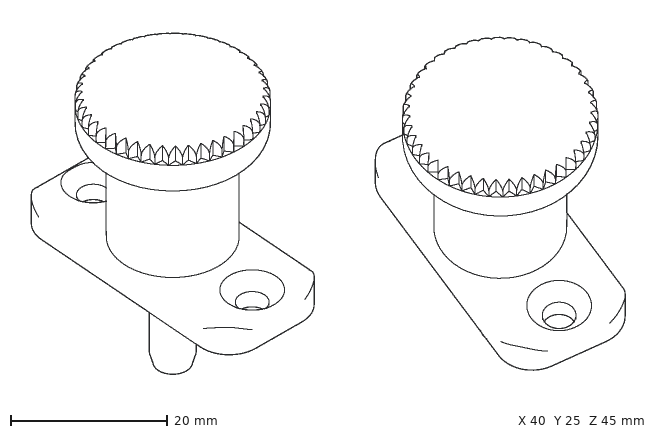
import cadquery as cq
import math


plate_length = 40.0
plate_depth = 18.0
plate_thickness = 4.5
plate_corner_radius = 5.0
plate_top_fillet = 1.45
boss_diameter = 10.0
boss_height = 2.5
screw_spacing = 30.0
screw_hole_diameter = 4.3
countersink_diameter = 8.3
countersink_angle = 90.0

total_height = 45.0
knob_top = 28.5
knob_radius = 12.5
knob_height = 8.0
knob_top_fillet = 1.5
knob_bottom_fillet = 2.5
neck_radius = 8.5
neck_fillet = 1.0
pin_radius = 3.0
pin_taper_length = 1.75
pin_taper_angle = 15.0
tip_dome_height = 0.5

groove_count = 44
groove_height = 2.5
groove_angle = 90.0

knob_bottom = knob_top - knob_height
pin_end = knob_top - total_height


def make_flange():
    """Plate with rounded top edges, boss, pin bore and two countersunk screw holes."""
    block = (
        cq.Workplane("XY")
        .box(plate_length, plate_depth, plate_thickness, centered=(True, True, False))
        .faces(">Z")
        .edges()
        .fillet(plate_top_fillet)
    )
    rounded_outline = (
        cq.Workplane("XY")
        .rect(plate_length, plate_depth)
        .extrude(plate_thickness)
        .edges("|Z")
        .fillet(plate_corner_radius)
    )
    boss = cq.Workplane("XY").circle(boss_diameter / 2).extrude(-boss_height)
    pin_bore = (
        cq.Workplane("XY")
        .workplane(offset=-boss_height)
        .circle(pin_radius)
        .extrude(boss_height + plate_thickness)
    )
    return (
        block.intersect(rounded_outline)
        .union(boss)
        .cut(pin_bore)
        .cut(make_screw_holes())
    )


def make_screw_holes():
    """Cutters for the countersunk holes on both sides of the plunger."""
    hole_radius = screw_hole_diameter / 2
    sink_radius = countersink_diameter / 2
    sink_depth = (sink_radius - hole_radius) / math.tan(math.radians(countersink_angle / 2))
    profile = (
        cq.Workplane("XZ")
        .lineTo(hole_radius, 0)
        .lineTo(hole_radius, plate_thickness - sink_depth)
        .lineTo(sink_radius, plate_thickness)
        .lineTo(0, plate_thickness)
        .close()
    )
    cutter = profile.revolve(360, (0, 0, 0), (0, 1, 0))
    offset = screw_spacing / 2
    return cutter.translate((-offset, 0, 0)).union(cutter.translate((offset, 0, 0)))


def make_plunger():
    """Knob, neck and pin turned as one piece, with a knurled upper rim."""
    return make_plunger_blank().cut(make_knurl_grooves())


def make_plunger_blank():
    """Turned shape of the plunger; the neck stands on top of the plate."""
    tip_radius = pin_radius - pin_taper_length * math.tan(math.radians(pin_taper_angle))
    taper_end = pin_end + tip_dome_height
    dome_radius = (tip_radius**2 + tip_dome_height**2) / (2 * tip_dome_height)
    return (
        cq.Workplane("XZ")
        .moveTo(0, pin_end)
        .radiusArc((tip_radius, taper_end), -dome_radius)
        .lineTo(pin_radius, taper_end + pin_taper_length)
        .lineTo(pin_radius, plate_thickness)
        .lineTo(neck_radius, plate_thickness)
        .lineTo(neck_radius, knob_bottom - neck_fillet)
        .radiusArc((neck_radius + neck_fillet, knob_bottom), neck_fillet)
        .lineTo(knob_radius - knob_bottom_fillet, knob_bottom)
        .radiusArc((knob_radius, knob_bottom + knob_bottom_fillet), -knob_bottom_fillet)
        .lineTo(knob_radius, knob_top - knob_top_fillet)
        .radiusArc((knob_radius - knob_top_fillet, knob_top), -knob_top_fillet)
        .lineTo(0, knob_top)
        .close()
        .revolve(360, (0, 0, 0), (0, 1, 0))
    )


def make_knurl_grooves():
    """Ring of V-shaped cutters, each running from the rim top down to the groove floor."""
    half_pitch = math.pi / groove_count
    tooth_x = knob_radius * math.cos(half_pitch)
    half_width = knob_radius * math.sin(half_pitch)
    slope = math.tan(math.radians(groove_angle / 2))
    root_x = tooth_x - half_width / slope
    overshoot = knob_radius - tooth_x + half_width
    outer_x = tooth_x + overshoot
    outer_half_width = half_width + overshoot * slope
    cutter = (
        cq.Workplane("XY")
        .workplane(offset=knob_top - groove_height)
        .moveTo(root_x, 0)
        .lineTo(outer_x, outer_half_width)
        .lineTo(outer_x, -outer_half_width)
        .close()
        .extrude(groove_height)
        .val()
    )
    grooves = cq.Workplane("XY")
    for index in range(groove_count):
        angle = index * 360 / groove_count
        grooves.add(cutter.rotate((0, 0, 0), (0, 0, 1), angle))
    return grooves.combine()


flange = make_flange()
plunger = make_plunger()
result = cq.Compound.makeCompound([flange.val(), plunger.val()])